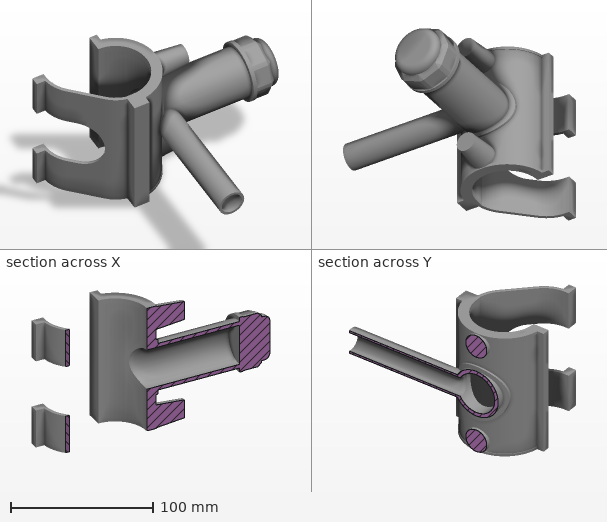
import cadquery as cq
import math

length = 100.0
bore_radius = 25.0
saddle_radius = 32.5
end_band_radius = 33.0
end_band_height = 2.0
flange_half_span = 38.0
flange_thickness = 6.0

collar_diameter = 45.0
collar_radius_on_saddle = 34.0
pipe_diameter = 38.25
pipe_bore_diameter = 31.5

cap_top = 123.0
dome_diameter = 36.0
dome_fillet = 5.0
dome_neck = 1.5
taper_height = 3.25
grip_height = 11.75
rim_height = 3.0
rim_diameter = 45.0
grip_diameter = 44.0
grip_across_flats = 41.85
grip_sides = 8
dome_base = cap_top - dome_fillet - dome_neck
taper_base = dome_base - taper_height
grip_base = taper_base - grip_height
cap_base = grip_base - rim_height

branch_diameter = 20.0
branch_bore_diameter = 16.0
branch_y = 32.0
branch_end = 110.0

peg_tip_diameter = 15.0
peg_tip_y = 55.0
peg_draft = 5.0
peg_z = 40.0

strap_thickness = 2.5
strap_outer_radius = bore_radius + strap_thickness
strap_centre_y = -0.4
hook_width = 6.4
hook_height = 9.0
hook_top = -45.37
slot_width = 40.0


def cylinder_y(diameter, start, end):
    """Cylinder about the Y axis between two Y positions."""
    plane = cq.Workplane("XZ", origin=(0, start, 0))
    return plane.circle(diameter / 2).extrude(start - end)


def half_cylinder(radius, height):
    """Half cylinder about Z on the +Y side, centred on Z = 0."""
    profile = cq.Workplane("XY", origin=(0, 0, -height / 2)).moveTo(radius, 0)
    return profile.threePointArc((0, radius), (-radius, 0)).close().extrude(height)


def make_saddle_shell():
    shell = half_cylinder(saddle_radius, length)
    band_z = (length - end_band_height) / 2
    for side in (-1, 1):
        band = half_cylinder(end_band_radius, end_band_height)
        shell = shell.union(band.translate((0, 0, side * band_z)))
    flanges = cq.Workplane("XY").box(2 * flange_half_span, flange_thickness, length)
    shell = shell.union(flanges.translate((0, flange_thickness / 2, 0)))
    collar = half_cylinder(collar_radius_on_saddle, length)
    collar = collar.intersect(cylinder_y(collar_diameter, 0, collar_radius_on_saddle))
    return shell.union(collar)


def make_cap():
    """Rim, eight-sided grip with chamfered top, and a rounded dome."""
    rim = cylinder_y(rim_diameter, cap_base, grip_base)
    dome = cylinder_y(dome_diameter, taper_base, cap_top).faces(">Y").edges().fillet(dome_fillet)

    corner_diameter = grip_across_flats / math.cos(math.pi / grip_sides)
    taper_corner_radius = (grip_across_flats / 2 - taper_height) / math.cos(math.pi / grip_sides)
    flats = cq.Workplane("XZ", origin=(0, grip_base, 0))
    flats = flats.polygon(grip_sides, corner_diameter).extrude(-grip_height)
    leaning_flats = cq.Workplane("XZ", origin=(0, taper_base, 0)).polygon(grip_sides, corner_diameter)
    leaning_flats = leaning_flats.workplane(offset=-taper_height)
    leaning_flats = leaning_flats.polygon(grip_sides, 2 * taper_corner_radius).loft(ruled=True)

    envelope = (
        cq.Workplane("XY")
        .moveTo(0, grip_base)
        .lineTo(grip_diameter / 2, grip_base)
        .lineTo(grip_diameter / 2, taper_base)
        .lineTo(taper_corner_radius, dome_base)
        .lineTo(0, dome_base)
        .close()
        .revolve(360, (0, 0), (0, 1))
    )
    grip = flats.union(leaning_flats).intersect(envelope)
    return rim.union(grip).union(dome)


def make_peg(z):
    root_y = (bore_radius + saddle_radius) / 2
    root_radius = peg_tip_diameter / 2 + (peg_tip_y - root_y) * math.tan(math.radians(peg_draft))
    peg = cq.Solid.makeCone(
        root_radius, peg_tip_diameter / 2, peg_tip_y - root_y, cq.Vector(0, root_y, z), cq.Vector(0, 1, 0)
    )
    return cq.Workplane("XY").add(peg)


def make_housing():
    housing = make_saddle_shell()
    housing = housing.union(cylinder_y(pipe_diameter, 0, cap_base))
    housing = housing.union(make_cap())
    branch_axis = cq.Workplane("YZ", origin=(0, branch_y, 0))
    housing = housing.union(branch_axis.circle(branch_diameter / 2).extrude(branch_end))
    for side in (-1, 1):
        housing = housing.union(make_peg(side * peg_z))

    main_bore = cq.Workplane("XY", origin=(0, 0, -length / 2)).circle(bore_radius).extrude(length)
    housing = housing.cut(main_bore)
    housing = housing.cut(cylinder_y(pipe_bore_diameter, 0, cap_base))
    return housing.cut(branch_axis.circle(branch_bore_diameter / 2).extrude(branch_end))


def make_strap():
    drop = flange_thickness + strap_centre_y
    upper_x = bore_radius - math.sqrt(bore_radius**2 - drop**2)
    upper_y = strap_centre_y
    lower_y = hook_top + bore_radius
    lower_x = upper_x - upper_y + lower_y
    hook_left = lower_x - hook_width / 2
    hook_right = lower_x + hook_width / 2
    hook_bottom = hook_top - hook_height

    flat_angle = -45
    upper_mid_angle = -30
    lower_mid_angle = -65

    def upper(radius, degrees):
        angle = math.radians(degrees)
        return (upper_x + radius * math.cos(angle), upper_y + radius * math.sin(angle))

    def lower(radius, degrees):
        angle = math.radians(degrees)
        return (lower_x + radius * math.cos(angle), lower_y + radius * math.sin(angle))

    outer_start = (upper_x + math.sqrt(strap_outer_radius**2 - drop**2), -flange_thickness)
    outer_end_drop = math.sqrt(strap_outer_radius**2 - (hook_width / 2) ** 2)
    outer_end = (hook_right, lower_y - outer_end_drop)
    profile = (
        cq.Workplane("XY", origin=(0, 0, -length / 2))
        .moveTo(bore_radius, 0)
        .lineTo(flange_half_span, 0)
        .lineTo(flange_half_span, -flange_thickness)
        .lineTo(*outer_start)
        .threePointArc(upper(strap_outer_radius, upper_mid_angle), upper(strap_outer_radius, flat_angle))
        .lineTo(*lower(strap_outer_radius, flat_angle))
        .threePointArc(lower(strap_outer_radius, lower_mid_angle), outer_end)
        .lineTo(hook_right, hook_bottom)
        .lineTo(hook_left, hook_bottom)
        .lineTo(hook_left, hook_top)
        .lineTo(lower_x, hook_top)
        .threePointArc(lower(bore_radius, lower_mid_angle), lower(bore_radius, flat_angle))
        .lineTo(*upper(bore_radius, flat_angle))
        .threePointArc(upper(bore_radius, upper_mid_angle), (bore_radius, -flange_thickness))
        .close()
    )
    strap = profile.extrude(length)

    flat_start = upper(bore_radius, flat_angle)
    slot_plane = cq.Plane(origin=(*flat_start, 0), xDir=(-1, -1, 0), normal=(1, -1, 0))
    slot_reach = 2 * length
    slot_depth = bore_radius
    slot = cq.Workplane(slot_plane).center(slot_reach / 2, 0).slot2D(slot_reach, slot_width)
    return strap.cut(slot.extrude(slot_depth, both=True))


housing = make_housing()
strap = make_strap()
result = cq.Compound.makeCompound([housing.val(), strap.val()])